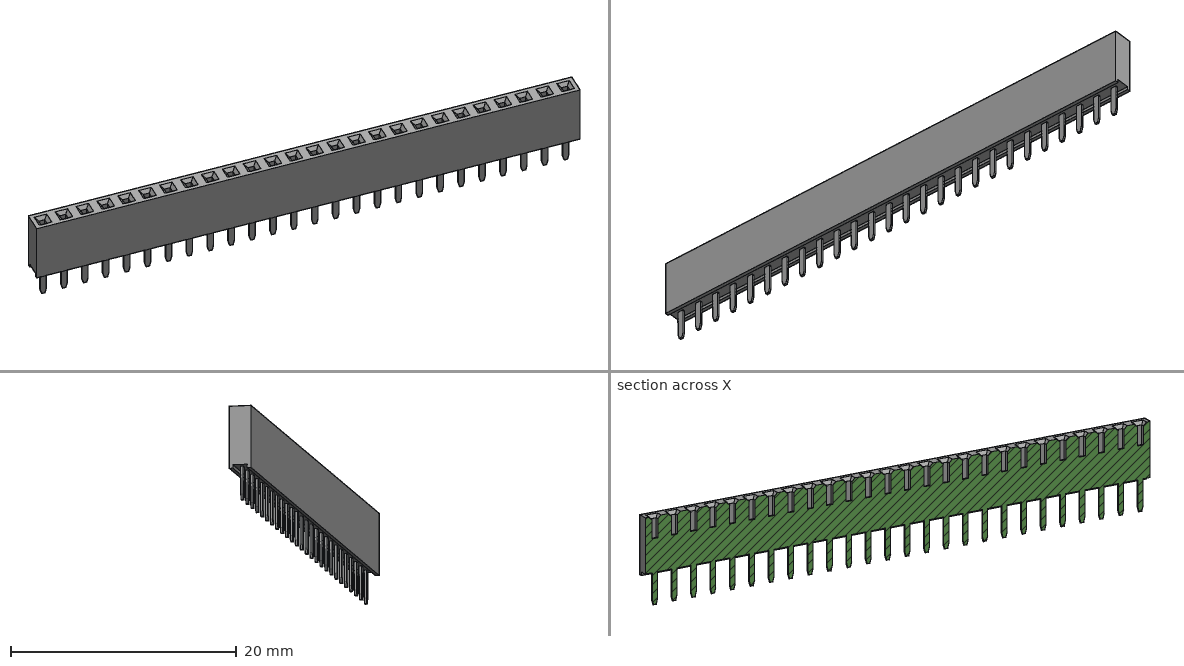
import cadquery as cq

contact_count = 26
row_length = 52.0
pitch = row_length / contact_count
body_width = 2.0
total_height = 8.3
body_height = 5.6

channel_width = 1.3
channel_depth = 0.3

mouth_size = 1.2
hole_size = 0.55
mouth_depth = (mouth_size - hole_size) / 2
hole_depth = 3.1

pin_thickness = 0.2
pin_width = 0.55
tip_width = 0.3
tip_length = 0.45
pin_rise = 1.05

body_bottom = total_height - body_height
socket_floor = total_height - hole_depth
pin_top = socket_floor + pin_rise
contact_places = [(0, (i - (contact_count - 1) / 2) * pitch) for i in range(contact_count)]


def make_body():
    block = cq.Workplane("XY", origin=(0, 0, body_bottom)).box(
        body_width, row_length, body_height, centered=(True, True, False)
    )
    channel = cq.Workplane("XY", origin=(0, 0, body_bottom)).box(
        channel_width, row_length, channel_depth, centered=(True, True, False)
    )
    return block.cut(channel)


def make_socket_cutter():
    mouth = (
        cq.Workplane("XY", origin=(0, 0, total_height))
        .rect(mouth_size, mouth_size)
        .workplane(offset=-mouth_depth)
        .rect(hole_size, hole_size)
        .loft(ruled=True)
    )
    hole = cq.Workplane("XY", origin=(0, 0, socket_floor)).box(
        hole_size, hole_size, hole_depth - mouth_depth, centered=(True, True, False)
    )
    return mouth.union(hole)


def make_pin():
    profile = [
        (-pin_width / 2, pin_top),
        (-pin_width / 2, tip_length),
        (-tip_width / 2, 0),
        (tip_width / 2, 0),
        (pin_width / 2, tip_length),
        (pin_width / 2, pin_top),
    ]
    return cq.Workplane("YZ").polyline(profile).close().extrude(pin_thickness / 2, both=True)


def repeat_along_row(feature):
    return cq.Workplane("XY").pushPoints(contact_places).eachpoint(
        lambda place: feature.val().moved(place)
    )


sockets = repeat_along_row(make_socket_cutter())
pins = repeat_along_row(make_pin())
result = make_body().cut(sockets).union(pins)